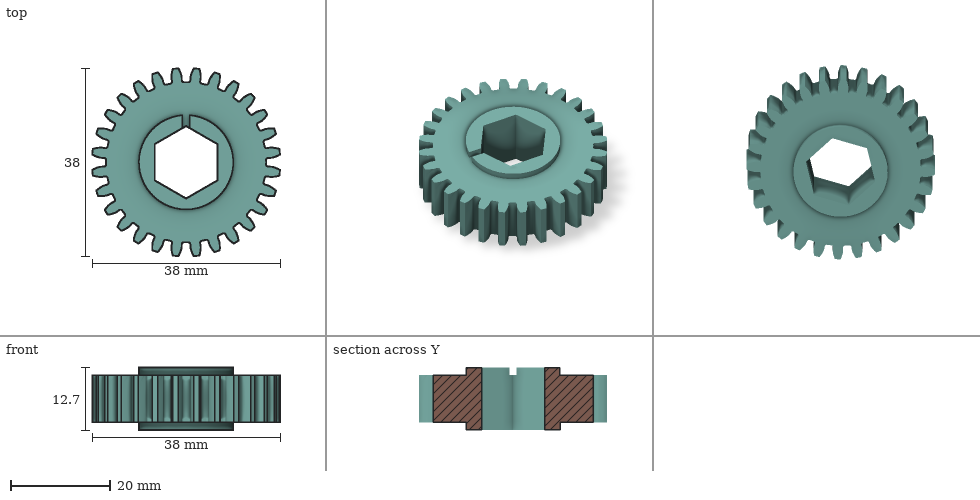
import cadquery as cq
import math

envelope = 37.97
tooth_count = 28
pressure_angle = math.radians(14.5)
root_clearance = 0.25
root_fillet = 0.38
total_height = 12.65
face_width = 9.55
hub_diameter = 19.05
hex_across_flats = 12.65
slot_width = 1.48
cut_overrun = 0.38
flank_points = 7

half_pitch_angle = math.pi / tooth_count
tip_to_pitch = (tooth_count + 2) / tooth_count
tip_roll_angle = math.acos(math.cos(pressure_angle) / tip_to_pitch)


def involute(angle):
    return math.tan(angle) - angle


base_half_space = half_pitch_angle / 2 - involute(pressure_angle)
tip_half_space = base_half_space + involute(tip_roll_angle)

tip_radius = envelope / 2 / math.cos(tip_half_space)
pitch_radius = tip_radius / tip_to_pitch
module = 2 * pitch_radius / tooth_count
base_radius = pitch_radius * math.cos(pressure_angle)
root_radius = pitch_radius - (1 + root_clearance) * module
hub_height = (total_height - face_width) / 2
face_top = hub_height + face_width


def polar(radius, angle):
    return (radius * math.cos(angle), radius * math.sin(angle))


def involute_flank():
    """Points on one side of a tooth space, from the base circle past the tip."""
    last_roll_angle = math.acos(base_radius / (tip_radius + cut_overrun))
    points = []
    for step in range(flank_points):
        roll_angle = last_roll_angle * step / (flank_points - 1)
        radius = base_radius / math.cos(roll_angle)
        points.append(polar(radius, base_half_space + involute(roll_angle)))
    return points


def tooth_space():
    """Cutter for the space centred on +X, with rounded root corners."""
    upper = involute_flank()
    lower = [(x, -y) for x, y in upper]
    cutter = (
        cq.Workplane("XY", origin=(0, 0, hub_height))
        .moveTo(*polar(root_radius, base_half_space))
        .lineTo(*upper[0])
        .spline(upper[1:], includeCurrent=True)
        .lineTo(*lower[-1])
        .spline(lower[-2::-1], includeCurrent=True)
        .lineTo(*polar(root_radius, -base_half_space))
        .threePointArc((root_radius, 0), polar(root_radius, base_half_space))
        .close()
        .extrude(face_width)
    )
    root_corners = cq.selectors.BoxSelector(
        (0, -base_radius, 0),
        ((root_radius + base_radius) / 2, base_radius, total_height),
    )
    return cutter.edges("|Z").edges(root_corners).fillet(root_fillet)


def toothed_rim():
    rim = cq.Workplane("XY", origin=(0, 0, hub_height)).circle(tip_radius).extrude(face_width)
    cutter = tooth_space().val()
    spaces = []
    for index in range(tooth_count):
        turn = index * 360 / tooth_count
        spaces.append(cutter.rotate((0, 0, 0), (0, 0, 1), turn))
    return cq.Workplane("XY").newObject([rim.val().cut(*spaces)])


def hub():
    return cq.Workplane("XY").circle(hub_diameter / 2).extrude(total_height)


def hex_bore():
    """Through bore with one corner pointing along +Y."""
    across_corners = hex_across_flats / math.cos(math.pi / 6)
    return (
        cq.Workplane("XY")
        .transformed(rotate=(0, 0, 90))
        .polygon(6, across_corners)
        .extrude(total_height)
    )


def hub_slot():
    """Radial slot on +Y through the upper hub, down to the rim face."""
    slot_length = hub_diameter / 2 + cut_overrun
    return (
        cq.Workplane("XY", origin=(0, 0, face_top))
        .center(0, slot_length / 2)
        .rect(slot_width, slot_length)
        .extrude(hub_height)
    )


result = toothed_rim().union(hub()).cut(hex_bore()).cut(hub_slot())